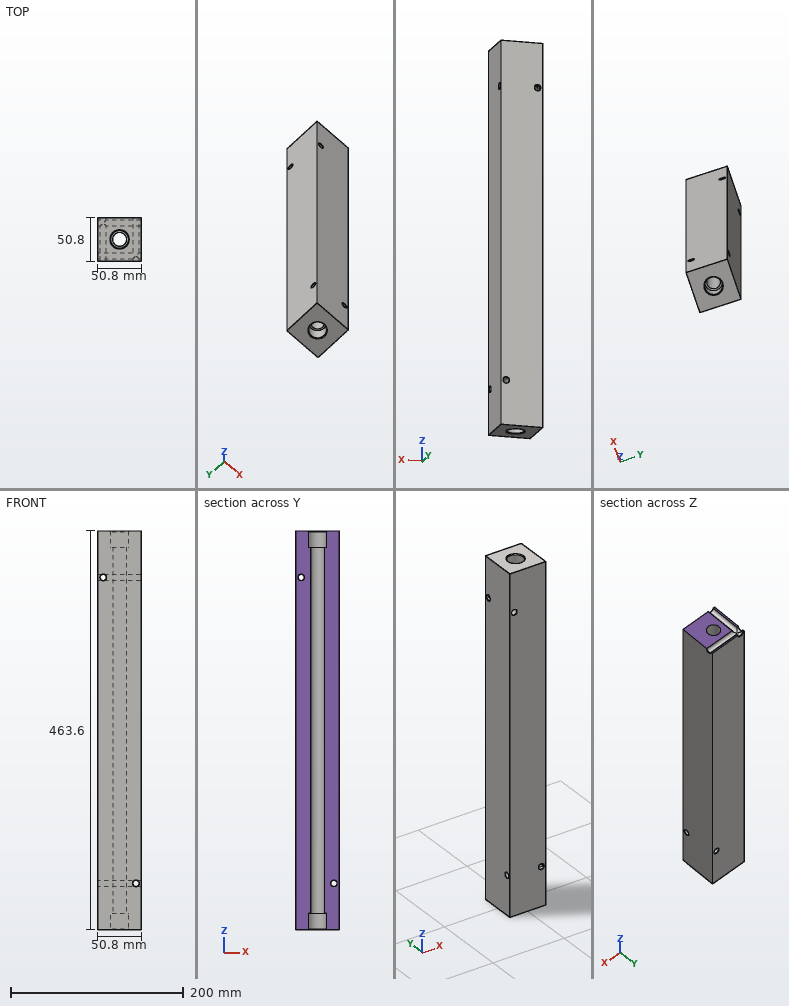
import cadquery as cq

bar_width = 50.8
bar_length = 463.55
edge_break = 0.254

bore_diameter = 15.875
end_bore_diameter = 20.6
end_bore_depth = 19.05
end_bore_chamfer = 1.0

cross_hole_diameter = 7.0
cross_hole_chamfer = 0.5
cross_hole_edge_distance = 6.35
cross_hole_end_distance = 53.975

half_width = bar_width / 2
half_length = bar_length / 2
cross_offset = half_width - cross_hole_edge_distance
cross_height = half_length - cross_hole_end_distance


def cut_hole(body, diameter, depth, mouth, inward):
    """Cut a round hole that enters at the mouth and runs along the inward direction."""
    hole = cq.Solid.makeCylinder(diameter / 2, depth, cq.Vector(*mouth), cq.Vector(*inward))
    return body.cut(cq.Workplane(hole))


def cut_mouth_chamfer(body, diameter, chamfer, mouth, inward):
    """Cut a 45 degree chamfer around the mouth of a round hole."""
    radius = diameter / 2
    cone = cq.Solid.makeCone(radius + chamfer, radius, chamfer, cq.Vector(*mouth), cq.Vector(*inward))
    return body.cut(cq.Workplane(cone))


def cut_axial_bore(body):
    """Through bore on the bar axis with a wider, chamfered bore entering from each end."""
    body = cut_hole(body, bore_diameter, bar_length, (0, 0, -half_length), (0, 0, 1))
    for end in (-1, 1):
        mouth = (0, 0, end * half_length)
        inward = (0, 0, -end)
        body = cut_hole(body, end_bore_diameter, end_bore_depth, mouth, inward)
        body = cut_mouth_chamfer(body, end_bore_diameter, end_bore_chamfer, mouth, inward)
    return body


def cut_cross_hole(body, near_mouth, far_mouth, direction):
    """Through hole across the bar, chamfered at both mouths."""
    backward = tuple(-component for component in direction)
    body = cut_hole(body, cross_hole_diameter, bar_width, near_mouth, direction)
    body = cut_mouth_chamfer(body, cross_hole_diameter, cross_hole_chamfer, near_mouth, direction)
    return cut_mouth_chamfer(body, cross_hole_diameter, cross_hole_chamfer, far_mouth, backward)


def cut_cross_holes(body):
    """One hole along X and one along Y at each end, crossing near a vertical edge of the bar."""
    for end in (-1, 1):
        height = end * cross_height
        offset = end * cross_offset
        body = cut_cross_hole(
            body, (-half_width, offset, height), (half_width, offset, height), (1, 0, 0)
        )
        body = cut_cross_hole(
            body, (-offset, -half_width, height), (-offset, half_width, height), (0, 1, 0)
        )
    return body


bar = cq.Workplane("XY").box(bar_width, bar_width, bar_length).edges().chamfer(edge_break)
result = cut_cross_holes(cut_axial_bore(bar))